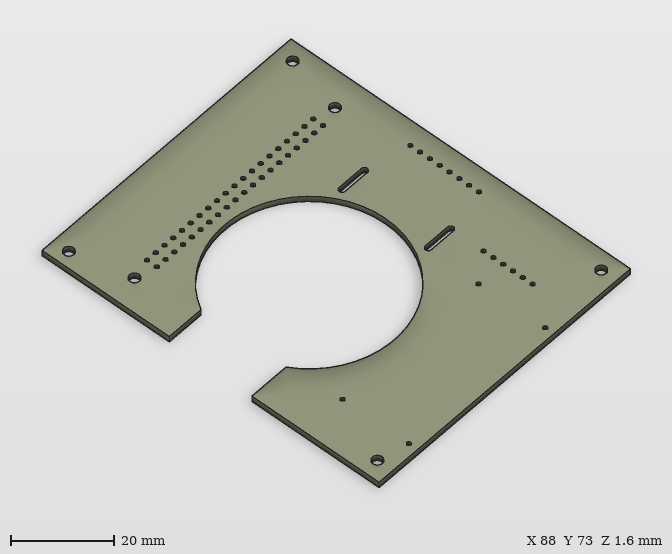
import cadquery as cq

plate_length = 88.0
plate_width = 73.0
plate_thickness = 1.6
left_edge_setback = 0.7

opening_x = plate_length / 2
opening_y = 29.0
opening_diameter = 44.0
throat_width = opening_diameter / 2

mount_diameter = 2.5
mount_inset = 4.0

pin_diameter = 1.0
pin_pitch = 2.54
header_x = 18.07
header_y = 36.5
header_rows = 20
header_columns = 2
header_screw_x = 18.0
header_screw_spacing = 58.2

back_row_pins = 8
back_row_x = 44.2
back_row_y = 68.1
side_row_pins = 6
side_row_x = 70.15
side_row_y = 57.45

module_left_x = 68.65
module_right_x = 85.72
module_left_back_y = 50.55
module_right_back_y = 50.8
module_left_front_y = 11.1
module_right_front_y = 11.2

slot_width = 1.5
slot_length = 8.0
slot_x = 44.1
slot_y = 54.2
slot_spacing = 22.35


def grid_points(center_x, center_y, columns, rows, pitch):
    """Centres of an evenly pitched grid around a given centre."""
    first_x = center_x - pitch * (columns - 1) / 2
    first_y = center_y - pitch * (rows - 1) / 2
    return [
        (first_x + column * pitch, first_y + row * pitch)
        for column in range(columns)
        for row in range(rows)
    ]


def block(x_start, x_end, y_start, y_end):
    """Full-thickness block between the given limits."""
    return (
        cq.Workplane("XY")
        .moveTo(x_start, y_start)
        .lineTo(x_end, y_start)
        .lineTo(x_end, y_end)
        .lineTo(x_start, y_end)
        .close()
        .extrude(plate_thickness)
    )


def round_cutter(points, diameter):
    """Full-thickness cylinders at the given centres."""
    return cq.Workplane("XY").pushPoints(points).circle(diameter / 2).extrude(plate_thickness)


def make_plate():
    """Plate with the keyhole-shaped opening and the set-back left front edge."""
    throat_left = opening_x - throat_width / 2
    throat_right = opening_x + throat_width / 2
    plate = block(0, plate_length, 0, plate_width)
    plate = plate.cut(block(0, throat_left, 0, left_edge_setback))
    plate = plate.cut(block(throat_left, throat_right, 0, opening_y))
    return plate.cut(round_cutter([(opening_x, opening_y)], opening_diameter))


def mounting_holes():
    """Corner holes and the screw holes at both ends of the two-column header."""
    corners = [
        (x, y)
        for x in (mount_inset, plate_length - mount_inset)
        for y in (mount_inset, plate_width - mount_inset)
    ]
    header_screws = grid_points(header_screw_x, header_y, 1, 2, header_screw_spacing)
    return round_cutter(corners + header_screws, mount_diameter)


def pin_holes():
    """Pin holes of the headers and of the module."""
    header = grid_points(header_x, header_y, header_columns, header_rows, pin_pitch)
    back_row = grid_points(back_row_x, back_row_y, back_row_pins, 1, pin_pitch)
    side_row = grid_points(side_row_x, side_row_y, side_row_pins, 1, pin_pitch)
    module = [
        (module_left_x, module_left_back_y),
        (module_right_x, module_right_back_y),
        (module_left_x, module_left_front_y),
        (module_right_x, module_right_front_y),
    ]
    return round_cutter(header + back_row + side_row + module, pin_diameter)


def strap_slots():
    """Two round-ended slots running along Y."""
    return (
        cq.Workplane("XY")
        .pushPoints(grid_points(slot_x, slot_y, 2, 1, slot_spacing))
        .slot2D(slot_length, slot_width, 90)
        .extrude(plate_thickness)
    )


result = make_plate().cut(mounting_holes()).cut(pin_holes()).cut(strap_slots())